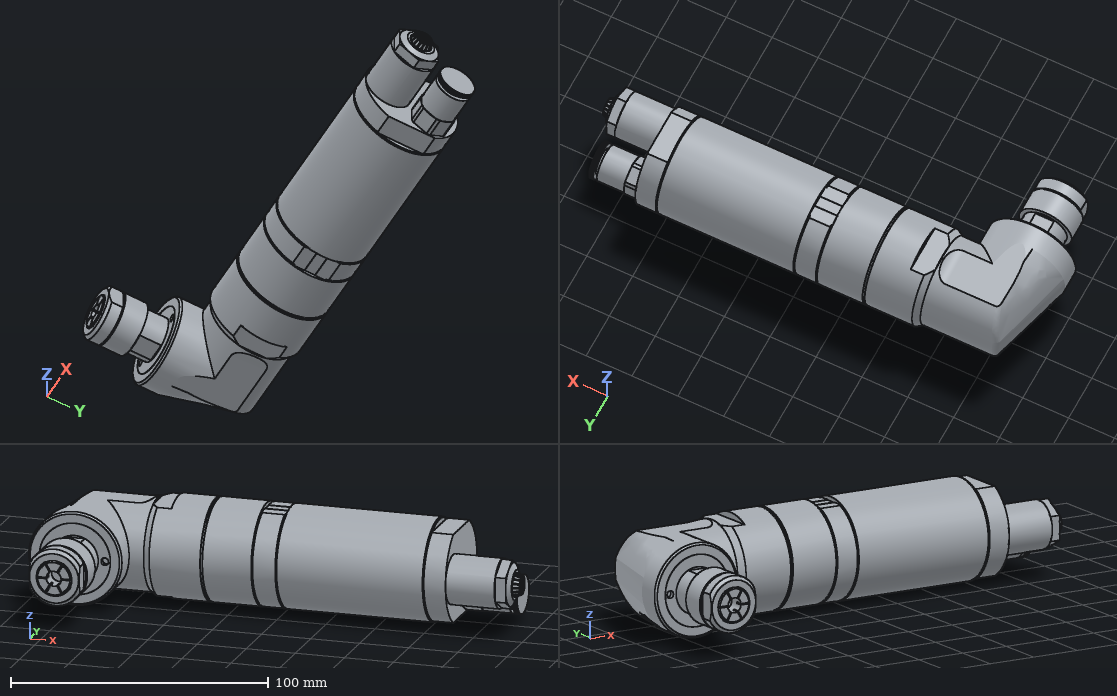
import cadquery as cq
import math


body_radius = 41.5 / 2
neck_radius = 38 / 2
neck_start = -neck_radius
neck_end = 24.9
collar_start = 27.7
groove_start = 48.4
groove_width = 0.9
groove_depth = 0.4
strip_start = 69.2
strip_end = 79.5
strip_flat_height = 19.1
strip_slot_half_width = 2.35
strip_slot_depth = 0.15
seam_width = 0.5
cap_start = 139.5
cap_end = 148.4
flat_height = 18.0
collar_flat_end = 33.5

head_radius = neck_radius
head_rim = -19.0
head_face = -29.0
head_chamfer = 0.8
head_flat_angle = 5.0
head_flat_end = 18.8
runout_radius = 8.5
back_angle = 16.0
back_edge_x = -4.7
back_top = 21.0
back_top_edge_x = -2.2
back_strip_half_width = 5.5
back_strip_top_half_width = 4.4
back_fillet = 2.5
cover_radius = 14.5
cover_recess = 0.1
pin_hole_diameter = 3.0
pin_hole_offset = 12.2
pin_hole_depth = 2.0

shaft_diameter = 19.0
shaft_flat_height = 8.6
shaft_flat_end = -38.8
spindle_radius = 23.0 / 2
spindle_start = -39.3
spindle_end = -49.3
spindle_gap = 0.4
spindle_gap_depth = 0.5
nut_end = -56.1
nut_chamfer_length = 1.3
nut_chamfer_width = 1.5
nut_flat_offset = 10.2
collet_diameter = 13.2
total_width = 77.27
collet_end = body_radius - total_width
collet_recess_radius = 7.2
collet_bore_diameter = 6.0
collet_bore_depth = 8.0
collet_slot_width = 0.5
collet_slot_depth = 3.0
collet_slots = 6

gland_radius = 9.95
gland_y = -10.65
gland_sleeve_end = 168.2
gland_hex_end = 172.5
gland_hex_flats = 17.3
gland_cone_end = 174.0
gland_cone_radius = 6.0
gland_tip_radius = 4.75
gland_tip_end_radius = 7.5 / 2
gland_slots = 16
gland_slot_width = 0.4
gland_bore_radius = 3.0 / 2
total_length = 195.5
total_end = total_length - head_radius

fitting_y = 7.4
fitting_z = -9.4
fitting_hex_flats = 14.8
fitting_corner_flats = 16.2
fitting_hex_end = 156.2
fitting_radius = 15.6 / 2
fitting_sleeve_end = 167.9
fitting_neck_radius = 11.2 / 2
fitting_ring_start = 169.4
fitting_ring_end = 171.3
fitting_groove_start = 170.0
fitting_groove_end = 170.6

overcut = 30.0


def x_cylinder(start, end, radius, y=0.0, z=0.0):
    return cq.Workplane("YZ", origin=(start, y, z)).circle(radius).extrude(end - start)


def y_cylinder(start, end, radius, x=0.0):
    """Cylinder running from `start` towards -Y to `end`."""
    return cq.Workplane("XZ", origin=(x, start, 0)).circle(radius).extrude(start - end)


def span_box(x0, x1, y0, y1, z0, z1):
    return cq.Workplane("XY").box(x1 - x0, y1 - y0, z1 - z0, centered=False).translate((x0, y0, z0))


def cut_both_flats(solid, x0, x1, y_half, height):
    """Flatten the +Z and -Z sides of `solid` at the given height over a stretch of X."""
    for z0, z1 in ((height, height + overcut), (-height - overcut, -height)):
        solid = solid.cut(span_box(x0, x1, -y_half, y_half, z0, z1))
    return solid


def ring_groove(start, end, depth):
    return x_cylinder(start, end, body_radius + overcut).cut(x_cylinder(start, end, body_radius - depth))


def head():
    neck = x_cylinder(neck_start, neck_end, neck_radius)
    barrel = y_cylinder(0, head_face, head_radius).faces("<Y").chamfer(head_chamfer)
    solid = neck.union(barrel).cut(back_cutter())
    back_edge_zone = cq.selectors.BoxSelector((neck_start, 0, -neck_radius), (back_edge_x, back_top, neck_radius))
    solid = solid.edges(back_edge_zone).fillet(back_fillet)
    flat = head_flat_cutter()
    solid = solid.cut(flat).cut(flat.mirror("XY"))
    solid = solid.cut(y_cylinder(head_face + cover_recess, head_face, cover_radius))
    for x in (-pin_hole_offset, pin_hole_offset):
        solid = solid.cut(y_cylinder(head_face + pin_hole_depth, head_face, pin_hole_diameter / 2, x))
    return solid


def back_cutter():
    """Material outside the back: a middle strip and two corner faces leaning towards the motor."""
    rim_edge_z = math.sqrt(head_radius**2 - back_edge_x**2)
    rim_strip_x = -math.sqrt(head_radius**2 - back_strip_half_width**2)
    rim_corner_angle = (math.acos(back_edge_x / head_radius) + math.acos(rim_strip_x / head_radius)) / 2
    rim_corner_x = head_radius * math.cos(rim_corner_angle)
    rim_corner_z = head_radius * math.sin(rim_corner_angle)
    rim = (
        outer_edges(head_rim, back_edge_x, rim_edge_z)
        .threePointArc((rim_corner_x, rim_corner_z), (rim_strip_x, back_strip_half_width))
        .threePointArc((-head_radius, 0), (rim_strip_x, -back_strip_half_width))
        .threePointArc((rim_corner_x, -rim_corner_z), (back_edge_x, -rim_edge_z))
        .close()
    )
    lean = (back_top - head_rim) * math.tan(math.radians(back_angle))
    top_strip_x = lean - head_radius
    top = (
        outer_edges(back_top, back_top_edge_x, rim_edge_z)
        .lineTo(top_strip_x, back_strip_top_half_width)
        .lineTo(top_strip_x, -back_strip_top_half_width)
        .lineTo(back_top_edge_x, -rim_edge_z)
        .close()
    )
    return cq.Workplane(cq.Solid.makeLoft([rim.val(), top.val()], True))


def outer_edges(y, edge_x, edge_z):
    """Start of a cutter section: its three sides away from the head, ending at the +Z edge of the back."""
    return (
        cq.Workplane("XZ", origin=(0, y, 0))
        .moveTo(edge_x, -edge_z)
        .lineTo(edge_x, -overcut)
        .lineTo(-overcut, -overcut)
        .lineTo(-overcut, overcut)
        .lineTo(edge_x, overcut)
        .lineTo(edge_x, edge_z)
    )


def head_flat_cutter():
    """Tilted flat on the +Z side, ending towards the motor in an arc that runs out upwards."""
    return (
        cq.Workplane("XZ")
        .moveTo(-overcut, 0)
        .lineTo(head_flat_end, 0)
        .radiusArc((head_flat_end + runout_radius, runout_radius), -runout_radius)
        .lineTo(-overcut, runout_radius)
        .close()
        .extrude(-2 * overcut)
        .rotate((0, 0, 0), (1, 0, 0), -head_flat_angle)
        .translate((0, head_rim, head_radius))
    )


def motor():
    housing = (
        cq.Workplane("XY")
        .moveTo(neck_end, 0)
        .lineTo(neck_end, neck_radius)
        .lineTo(collar_start, body_radius)
        .lineTo(cap_end, body_radius)
        .lineTo(cap_end, 0)
        .close()
        .revolve(360, (0, 0, 0), (1, 0, 0))
    )
    solid = housing.cut(ring_groove(groove_start, groove_start + groove_width, groove_depth))
    for start in (strip_start, strip_end - seam_width, cap_start - seam_width):
        solid = solid.cut(ring_groove(start, start + seam_width, groove_depth))
    solid = cut_both_flats(solid, neck_end, collar_flat_end, overcut, flat_height)
    solid = cut_both_flats(solid, strip_start, strip_end, overcut, strip_flat_height)
    slot_height = strip_flat_height - strip_slot_depth
    solid = cut_both_flats(solid, strip_start, strip_end, strip_slot_half_width, slot_height)
    return cut_both_flats(solid, cap_start, cap_end, overcut, flat_height)


def spindle():
    shaft = y_cylinder(0, spindle_start, shaft_diameter / 2)
    for side in (-1, 1):
        z0, z1 = sorted((side * shaft_flat_height, side * overcut))
        shaft = shaft.cut(span_box(-overcut, overcut, shaft_flat_end, head_face, z0, z1))
    ring = y_cylinder(spindle_start, spindle_end, spindle_radius)
    gap = y_cylinder(spindle_end, spindle_end - spindle_gap, spindle_radius - spindle_gap_depth)
    return shaft.union(ring).union(gap).union(nut())


def nut():
    start = spindle_end - spindle_gap
    solid = y_cylinder(start, nut_end, spindle_radius)
    solid = solid.faces("<Y").chamfer(nut_chamfer_length, nut_chamfer_width)
    solid = solid.intersect(span_box(-nut_flat_offset, nut_flat_offset, nut_end, start, -overcut, overcut))
    solid = solid.cut(y_cylinder(nut_end + collet_slot_depth, nut_end, collet_recess_radius))
    solid = solid.union(y_cylinder(start, collet_end, collet_diameter / 2))
    solid = solid.cut(y_cylinder(collet_end + collet_bore_depth, collet_end, collet_bore_diameter / 2))
    half_slot = collet_slot_width / 2
    slot = span_box(0, collet_diameter / 2, collet_end, collet_end + collet_slot_depth, -half_slot, half_slot)
    for i in range(collet_slots):
        solid = solid.cut(slot.rotate((0, 0, 0), (0, 1, 0), i * 360 / collet_slots))
    return solid


def hexagon(start, end, flats, y, z, turn=90):
    """Hexagonal bar along X; a turn of 90 degrees points two corners to +Z and -Z, and 0 to +Y and -Y."""
    corner_diameter = flats / math.cos(math.pi / 6)
    plane = cq.Workplane("YZ", origin=(start, y, z)).transformed(rotate=(0, 0, turn))
    return plane.polygon(6, corner_diameter).extrude(end - start)


def gland():
    sleeve = x_cylinder(cap_end, gland_sleeve_end, gland_radius, gland_y)
    hexagonal = hexagon(gland_sleeve_end, gland_hex_end, gland_hex_flats, gland_y, 0)
    nose = (
        cq.Workplane("XY")
        .moveTo(gland_hex_end, 0)
        .lineTo(gland_hex_end, gland_hex_flats / 2)
        .lineTo(gland_cone_end, gland_cone_radius)
        .lineTo(gland_cone_end, gland_tip_radius)
        .lineTo(total_end, gland_tip_end_radius)
        .lineTo(total_end, 0)
        .close()
        .revolve(360, (0, 0, 0), (1, 0, 0))
    )
    half_slot = gland_slot_width / 2
    slot = span_box(gland_cone_end, total_end, gland_bore_radius, gland_cone_radius, -half_slot, half_slot)
    for i in range(gland_slots):
        nose = nose.cut(slot.rotate((0, 0, 0), (1, 0, 0), i * 360 / gland_slots))
    nose = nose.cut(x_cylinder(gland_cone_end, total_end, gland_bore_radius))
    nose = nose.translate((0, gland_y, 0))
    return sleeve.union(hexagonal).union(nose)


def air_fitting():
    place = (fitting_y, fitting_z)
    solid = hexagon(cap_end, fitting_hex_end, fitting_hex_flats, *place)
    solid = solid.intersect(hexagon(cap_end, fitting_hex_end, fitting_corner_flats, *place, turn=0))
    solid = solid.union(x_cylinder(fitting_hex_end, fitting_sleeve_end, fitting_radius, *place))
    solid = solid.union(x_cylinder(fitting_sleeve_end, fitting_ring_end, fitting_neck_radius, *place))
    solid = solid.union(x_cylinder(fitting_ring_start, fitting_groove_start, fitting_radius, *place))
    return solid.union(x_cylinder(fitting_groove_end, fitting_ring_end, fitting_radius, *place))


result = motor().union(head()).union(spindle()).union(gland()).union(air_fitting())